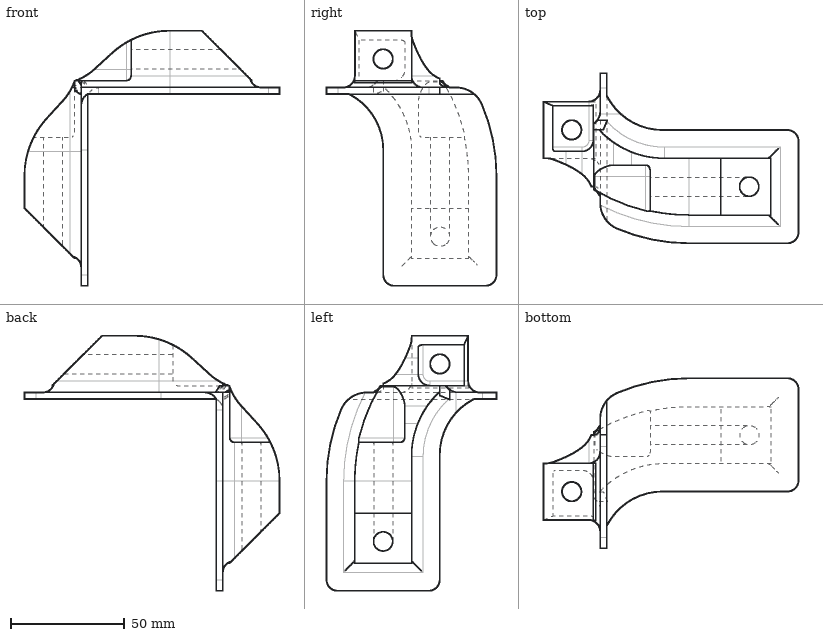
import cadquery as cq
import math


PLATE_THICKNESS = 3.0
PLATE_LENGTH = 87.5
PLATE_WIDTH = 50.0
PLATE_CORNER_RADIUS = 5.0
PLATE_OUTER_BEND_RADIUS = 80.0
PLATE_ROUND_RADIUS = 12.5

BOSS_WIDTH = PLATE_WIDTH / 2
BOSS_END_X = 75.3
PLATE_MARGIN = (PLATE_WIDTH - BOSS_WIDTH) / 2
OUTER_BEND_X = 39.0
PLATE_INNER_BEND_X = 27.5
BOSS_INNER_BEND_X = 28.2
BOSS_OUTER_BEND_RADIUS = 80.0
PLATE_INNER_BEND_RADIUS = 27.5
BOSS_INNER_BEND_RADIUS = 39.0
PLATE_INNER_Y = PLATE_MARGIN
PLATE_OUTER_Y = -BOSS_WIDTH - PLATE_MARGIN

BOSS_HEIGHT = 25.0
CREST_RADIUS = 37.5
CREST_END_X = 53.2
CREST_ANGLE = math.radians(42.5)
RISE_START_X = 5.9
RIDGE_OFFSET = 2.85

SKIRT_RADIUS = 5.0
SKIRT_END_X = 79.3

RIDGE_END_Y = BOSS_WIDTH / 2
SHOULDER_FOOT_Y = 16.8
SHOULDER_TOP_X = 1.4
SHOULDER_FOOT_X = 3.2
SHOULDER_BEVEL_X = 1.0
SHOULDER_BEVEL_Y = 15.0

POCKET_END_X = 22.0
POCKET_BACK_Y = -3.0
POCKET_FLOOR_Z = 3.0
POCKET_BACK_RADIUS = 5.0
POCKET_END_RADIUS = 2.0
HOLE_DIAMETER = 8.45
HOLE_Y = -BOSS_WIDTH / 2
HOLE_Z = BOSS_HEIGHT / 2

REACH = 2 * PLATE_LENGTH


def on_bend(x, bend_x, side_y, radius):
    """Point at x on an arc towards +Y that leaves the straight side y = side_y at bend_x."""
    return (x, side_y + radius - math.sqrt(radius**2 - (bend_x - x) ** 2))


def turned_to_other_arm(shape):
    """Half turn about the line x = -z, which carries one arm onto the other."""
    return shape.rotate((0, 0, 0), (1, 0, -1), 180)


def plate_outline_prism():
    """Outline of the plate along +X, drawn out along Z through the whole bracket."""
    round_centre_x = PLATE_ROUND_RADIUS
    bend_centre_y = PLATE_OUTER_Y + PLATE_OUTER_BEND_RADIUS
    centre_distance = PLATE_OUTER_BEND_RADIUS - PLATE_ROUND_RADIUS
    centre_dx = OUTER_BEND_X - round_centre_x
    round_centre_y = bend_centre_y - math.sqrt(centre_distance**2 - centre_dx**2)
    round_end_x = OUTER_BEND_X - centre_dx * PLATE_OUTER_BEND_RADIUS / centre_distance
    round_end = on_bend(round_end_x, OUTER_BEND_X, PLATE_OUTER_Y, PLATE_OUTER_BEND_RADIUS)
    flare = (PLATE_INNER_BEND_X, PLATE_INNER_Y, PLATE_INNER_BEND_RADIUS)
    flare_tip = on_bend(PLATE_THICKNESS, *flare)
    flare_middle = on_bend(PLATE_INNER_BEND_X / 2, *flare)
    prism = (
        cq.Workplane("XY", origin=(0, 0, -REACH / 2))
        .moveTo(0, -PLATE_OUTER_Y)
        .lineTo(0, round_centre_y)
        .tangentArcPoint(round_end, relative=False)
        .tangentArcPoint((OUTER_BEND_X, PLATE_OUTER_Y), relative=False)
        .lineTo(PLATE_LENGTH, PLATE_OUTER_Y)
        .lineTo(PLATE_LENGTH, PLATE_INNER_Y)
        .lineTo(PLATE_INNER_BEND_X, PLATE_INNER_Y)
        .threePointArc(flare_middle, flare_tip)
        .lineTo(PLATE_THICKNESS, -PLATE_OUTER_Y)
        .close()
        .extrude(REACH)
    )
    return prism.edges("|Z and >X").fillet(PLATE_CORNER_RADIUS)


def plates():
    """Both plates: an L section trimmed by the outline of each arm."""
    angle_section = (
        cq.Workplane("XZ", origin=(0, REACH / 2, 0))
        .polyline([
            (0, 0),
            (PLATE_LENGTH, 0),
            (PLATE_LENGTH, -PLATE_THICKNESS),
            (PLATE_THICKNESS, -PLATE_THICKNESS),
            (PLATE_THICKNESS, -PLATE_LENGTH),
            (0, -PLATE_LENGTH),
        ])
        .close()
        .extrude(REACH)
    )
    outline = plate_outline_prism()
    return angle_section.intersect(outline).intersect(turned_to_other_arm(outline))


def boss_plan_prism(offset, end_x, bottom_z, top_z):
    """Plan of the boss grown sideways by offset, between two heights."""
    start_x = -2 * RIDGE_OFFSET
    inner_radius = BOSS_INNER_BEND_RADIUS - offset
    outer_radius = BOSS_OUTER_BEND_RADIUS + offset
    outer_y = -BOSS_WIDTH - offset
    return (
        cq.Workplane("XY", origin=(0, 0, bottom_z))
        .moveTo(end_x, offset)
        .lineTo(BOSS_INNER_BEND_X, offset)
        .threePointArc(
            on_bend(BOSS_INNER_BEND_X / 2, BOSS_INNER_BEND_X, offset, inner_radius),
            on_bend(start_x, BOSS_INNER_BEND_X, offset, inner_radius),
        )
        .lineTo(*on_bend(start_x, OUTER_BEND_X, outer_y, outer_radius))
        .threePointArc(
            on_bend(OUTER_BEND_X / 2, OUTER_BEND_X, outer_y, outer_radius),
            (OUTER_BEND_X, outer_y),
        )
        .lineTo(end_x, outer_y)
        .close()
        .extrude(top_z - bottom_z)
    )


def skirt_edge_bar(side_y, bend_x, bend_radius):
    """Round bar along one side of the skirt: straight, then a quarter turn towards +Y."""
    path = (
        cq.Workplane("XY", origin=(0, 0, SKIRT_RADIUS))
        .moveTo(PLATE_LENGTH, side_y)
        .lineTo(bend_x, side_y)
        .tangentArcPoint((bend_x - bend_radius, side_y + bend_radius), relative=False)
    )
    section = cq.Workplane("YZ", origin=(PLATE_LENGTH, side_y, SKIRT_RADIUS)).circle(SKIRT_RADIUS)
    return section.sweep(path)


def skirt():
    """Foot of the boss, hollowed along its outer edge by round bars of the skirt radius."""
    foot = boss_plan_prism(SKIRT_RADIUS, SKIRT_END_X, 0, SKIRT_RADIUS)
    inner_bar = skirt_edge_bar(SKIRT_RADIUS, BOSS_INNER_BEND_X, BOSS_INNER_BEND_RADIUS - SKIRT_RADIUS)
    outer_bar = skirt_edge_bar(
        -BOSS_WIDTH - SKIRT_RADIUS, OUTER_BEND_X, BOSS_OUTER_BEND_RADIUS + SKIRT_RADIUS
    )
    end_bar = (
        cq.Workplane("XZ", origin=(SKIRT_END_X, REACH / 2, SKIRT_RADIUS))
        .circle(SKIRT_RADIUS)
        .extrude(REACH)
    )
    return foot.cut(inner_bar).cut(outer_bar).cut(end_bar)


def boss_profile_prism():
    """Side profile of the boss up to the diagonal plane between the arms, drawn out along Y."""
    crest_centre_z = BOSS_HEIGHT - CREST_RADIUS
    crest_start = (
        OUTER_BEND_X - CREST_RADIUS * math.sin(CREST_ANGLE),
        crest_centre_z + CREST_RADIUS * math.cos(CREST_ANGLE),
    )
    rise_drop = (crest_start[0] - RISE_START_X) * math.tan(CREST_ANGLE)
    rise_start = (RISE_START_X, crest_start[1] - rise_drop)
    slope_foot_z = BOSS_HEIGHT - (BOSS_END_X - CREST_END_X)
    return (
        cq.Workplane("XZ", origin=(0, REACH / 2, 0))
        .moveTo(PLATE_LENGTH, slope_foot_z)
        .lineTo(BOSS_END_X, slope_foot_z)
        .lineTo(CREST_END_X, BOSS_HEIGHT)
        .lineTo(OUTER_BEND_X, BOSS_HEIGHT)
        .tangentArcPoint(crest_start, relative=False)
        .lineTo(*rise_start)
        .tangentArcPoint((-RIDGE_OFFSET, RIDGE_OFFSET), relative=False)
        .lineTo(PLATE_THICKNESS, -PLATE_THICKNESS)
        .lineTo(PLATE_LENGTH, -PLATE_THICKNESS)
        .close()
        .extrude(REACH)
    )


def pocket():
    """Recess beside the bend, open to the outer side and above; clears the end of the hole."""
    recess = (
        cq.Workplane("XY", origin=(0, 0, POCKET_FLOOR_Z))
        .moveTo(POCKET_END_X, POCKET_BACK_Y)
        .lineTo(-2 * RIDGE_OFFSET, POCKET_BACK_Y)
        .lineTo(-2 * RIDGE_OFFSET, PLATE_OUTER_Y)
        .lineTo(POCKET_END_X, PLATE_OUTER_Y)
        .close()
        .extrude(2 * BOSS_HEIGHT)
    )
    recess = recess.edges("|X and >Y and <Z").fillet(POCKET_BACK_RADIUS)
    return recess.faces(">X").edges("not(<Y or >Z)").fillet(POCKET_END_RADIUS)


def hole():
    """Round hole along the arm, from the pocket out through the end slope."""
    return (
        cq.Workplane("YZ", origin=(POCKET_END_X / 2, HOLE_Y, HOLE_Z))
        .circle(HOLE_DIAMETER / 2)
        .extrude(PLATE_LENGTH)
    )


def shoulder_column(bottom_z, side_points):
    """Column over the inner end of the ridge, bounded by the skirt and by side_points."""
    return (
        cq.Workplane("XY", origin=(0, 0, bottom_z))
        .moveTo(-RIDGE_OFFSET, RIDGE_END_Y)
        .lineTo(SHOULDER_TOP_X, RIDGE_END_Y)
        .lineTo(SHOULDER_FOOT_X, SHOULDER_FOOT_Y)
        .polyline(side_points, includeCurrent=True)
        .close()
        .extrude(BOSS_HEIGHT)
    )


def shoulder_clearance():
    """Space above the plate that the shoulder takes over from the skirt and the ridge."""
    return shoulder_column(0, [
        (SHOULDER_FOOT_X, BOSS_WIDTH),
        (-RIDGE_OFFSET, BOSS_WIDTH),
    ])


def shoulder():
    """Flat slope from the end of the ridge down to the plate."""
    wedge = (
        cq.Workplane("YZ", origin=(-RIDGE_OFFSET, 0, 0))
        .polyline([
            (0, -PLATE_THICKNESS / 2),
            (0, RIDGE_OFFSET),
            (RIDGE_END_Y, RIDGE_OFFSET),
            (SHOULDER_FOOT_Y, 0),
            (SHOULDER_FOOT_Y, -PLATE_THICKNESS / 2),
        ])
        .close()
        .extrude(REACH)
    )
    column = shoulder_column(-PLATE_THICKNESS / 2, [
        (-SHOULDER_BEVEL_X, SHOULDER_FOOT_Y),
        (-RIDGE_OFFSET, SHOULDER_BEVEL_Y),
    ])
    return wedge.intersect(column)


def boss():
    """Raised boss of the arm along +X with its skirt, shoulder, pocket and hole."""
    body = boss_plan_prism(0, BOSS_END_X, -PLATE_THICKNESS / 2, BOSS_HEIGHT).union(skirt())
    body = body.intersect(boss_profile_prism())
    clearance = shoulder_clearance()
    body = body.cut(clearance).cut(turned_to_other_arm(clearance))
    return body.union(shoulder()).cut(pocket()).cut(hole())


arm_boss = boss()
result = plates().union(arm_boss).union(turned_to_other_arm(arm_boss))